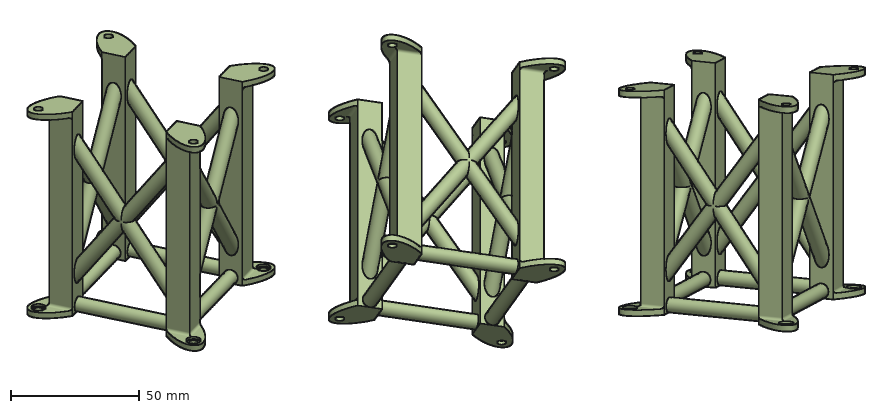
import cadquery as cq
import math

height = 90.0
column_pitch = 50.0
column_side = 10.0
half_pitch = column_pitch / 2

flange_thickness = 2.5
flange_half_length = 15.9
flange_half_width = column_side / math.sqrt(2)
fillet_radius = 1.2

hole_diameter = 3.5
counterbore_diameter = 5.7
counterbore_depth = 1.0
hole_offset = 8.1

base_bar_diameter = 6.0
brace_diameter = 6.5
brace_rise = 67.9


def make_flange():
    """Lower flange of the +X +Y column, in column-centred coordinates."""
    ellipse = (
        cq.Workplane("XY")
        .ellipse(flange_half_length, flange_half_width)
        .extrude(flange_thickness)
        .rotate((0, 0, 0), (0, 0, 1), 45)
    )
    inner_face = -column_side / 2
    outer_quadrant = (
        cq.Workplane("XY")
        .rect(2 * flange_half_length, 2 * flange_half_length, centered=False)
        .extrude(flange_thickness)
        .translate((inner_face, inner_face, 0))
    )
    return ellipse.intersect(outer_quadrant)


def make_foot_fillet(flange):
    """Concave fillet between the two outer column faces and the flange, trimmed to the flange outline."""
    inner_face = -column_side / 2
    wide_side = column_side + fillet_radius
    block = (
        cq.Workplane("XY", origin=(inner_face, inner_face, flange_thickness))
        .rect(wide_side, wide_side, centered=False)
        .extrude(fillet_radius)
    )
    axis_offset = column_side / 2 + fillet_radius
    axis_height = flange_thickness + fillet_radius
    hollow_x = (
        cq.Workplane("YZ", origin=(inner_face, axis_offset, axis_height))
        .circle(fillet_radius)
        .extrude(wide_side)
    )
    hollow_y = (
        cq.Workplane("XZ", origin=(axis_offset, inner_face, axis_height))
        .circle(fillet_radius)
        .extrude(-wide_side)
    )
    return block.cut(hollow_x).cut(hollow_y).intersect(flange.translate((0, 0, flange_thickness)))


def make_column_half():
    """Lower half of the +X +Y column with its flange and plain screw hole, in column-centred coordinates."""
    flange = make_flange()
    post = cq.Workplane("XY").rect(column_side, column_side).extrude(height / 2)
    hole = (
        cq.Workplane("XY")
        .center(hole_offset, hole_offset)
        .circle(hole_diameter / 2)
        .extrude(flange_thickness)
    )
    foot = flange.union(make_foot_fillet(flange)).cut(hole)
    return foot.union(post)


def make_counterbore():
    """Cutter for the screw head seat, tall enough to clear the foot fillet."""
    return (
        cq.Workplane("XY", origin=(0, 0, flange_thickness - counterbore_depth))
        .center(hole_offset, hole_offset)
        .circle(counterbore_diameter / 2)
        .extrude(counterbore_depth + fillet_radius)
    )


def make_column():
    """Whole +X +Y column in its final place."""
    lower = make_column_half()
    upper = lower.mirror("XY").translate((0, 0, height))
    return lower.union(upper).cut(make_counterbore()).translate((half_pitch, half_pitch, 0))


def make_strut(diameter, start_height, end_height):
    """Round strut between the centre lines of the two -Y columns."""
    start = cq.Vector(-half_pitch, -half_pitch, start_height)
    end = cq.Vector(half_pitch, -half_pitch, end_height)
    axis = end - start
    return cq.Workplane(cq.Solid.makeCylinder(diameter / 2, axis.Length, start, axis))


def make_side_struts():
    """Base bar and crossed braces of the -Y side, stopped at the inner column faces."""
    low = (height - brace_rise) / 2
    high = height - low
    struts = (
        make_strut(brace_diameter, low, high)
        .union(make_strut(brace_diameter, high, low))
        .union(make_strut(base_bar_diameter, base_bar_diameter / 2, base_bar_diameter / 2))
    )
    span = (
        cq.Workplane("XY", origin=(0, -half_pitch, 0))
        .rect(column_pitch - column_side, column_side)
        .extrude(height)
    )
    return struts.intersect(span)


column = make_column()
side_struts = make_side_struts()
result = column.union(side_struts)
for quarter_turn in (90, 180, 270):
    for piece in (column, side_struts):
        result = result.union(piece.rotate((0, 0, 0), (0, 0, 1), quarter_turn))